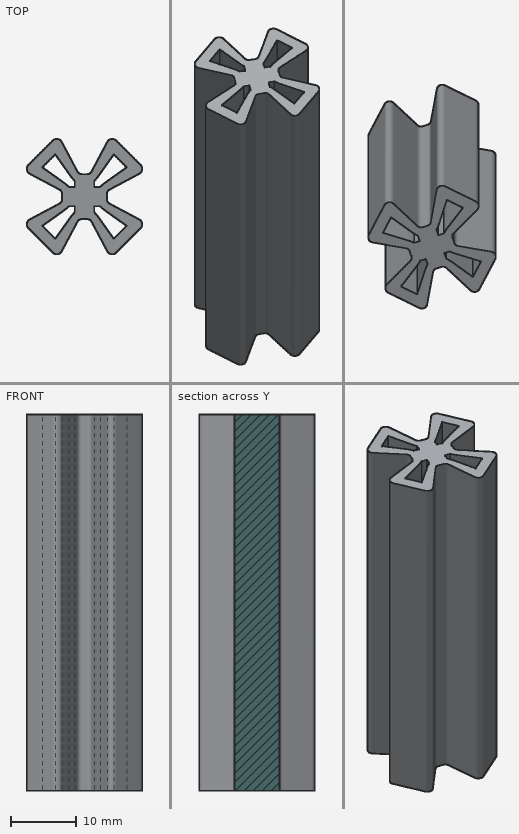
import cadquery as cq
import math

length = 57.65
width = 17.7

tip_distance = 9.5
tip_radius = 0.85

floor_distance = 3.45
floor_radius = 0.7
wall_angle = 28.0

hollow_corner = 1.5
neck_half_width = 0.65
neck_end = 3.3
neck_radius = 5.75
hollow_end = 7.7
hollow_end_half_width = 1.4

arm_angles = (45, 135, 225, 315)


def groove_points():
    """Return the sharp floor and mouth corners on the +X side of the +Y groove."""
    slope = math.tan(math.radians(wall_angle))
    center_y = width / 2 - tip_radius
    center_x = math.sqrt(2) * (tip_distance - tip_radius) - center_y
    touch_x = center_x - tip_radius * math.cos(math.radians(wall_angle))
    touch_y = center_y + tip_radius * math.sin(math.radians(wall_angle))
    floor_x = touch_x - (touch_y - floor_distance) * slope
    mouth_y = (math.sqrt(2) * tip_distance - touch_x + touch_y * slope) / (1 + slope)
    mouth_x = math.sqrt(2) * tip_distance - mouth_y
    return (floor_x, floor_distance), (mouth_x, mouth_y)


def turned(point, quarter_turns):
    """Turn a point about the axis by a number of quarter turns."""
    x, y = point
    for _ in range(quarter_turns):
        x, y = -y, x
    return x, y


def make_body():
    """Extrude the cross and round its groove floors and arm tips."""
    (floor_x, floor_y), (mouth_x, mouth_y) = groove_points()
    groove = [(mouth_x, mouth_y), (floor_x, floor_y), (-floor_x, floor_y), (-mouth_x, mouth_y)]
    outline = [turned(point, turn) for turn in range(4) for point in groove]
    body = cq.Workplane("XY").polyline(outline).close().extrude(length)

    split_radius = (floor_distance + tip_distance) / 2
    floor_edges = []
    tip_edges = []
    for edge in body.edges("|Z").vals():
        center = edge.Center()
        if math.hypot(center.x, center.y) < split_radius:
            floor_edges.append(edge)
        else:
            tip_edges.append(edge)

    solid = body.val().fillet(floor_radius, floor_edges)
    return cq.Workplane(solid.fillet(tip_radius, tip_edges))


def make_hollow():
    """Build the through hollow of one arm, lying along +X."""
    inner_end = math.sqrt(2) * hollow_corner
    upper_side = [
        (inner_end + neck_half_width, neck_half_width),
        (neck_end, neck_half_width),
        (hollow_end, hollow_end_half_width),
    ]
    lower_side = [(x, -y) for x, y in reversed(upper_side)]
    outline = [(inner_end, 0)] + upper_side + lower_side
    hollow = cq.Workplane("XY").polyline(outline).close().extrude(length)
    neck_box = cq.selectors.BoxSelector(
        (neck_end - neck_half_width / 2, -neck_half_width * 2, 0),
        (neck_end + neck_half_width / 2, neck_half_width * 2, length),
    )
    return hollow.edges("|Z").edges(neck_box).fillet(neck_radius)


result = make_body()
for angle in arm_angles:
    result = result.cut(make_hollow().rotate((0, 0, 0), (0, 0, 1), angle))